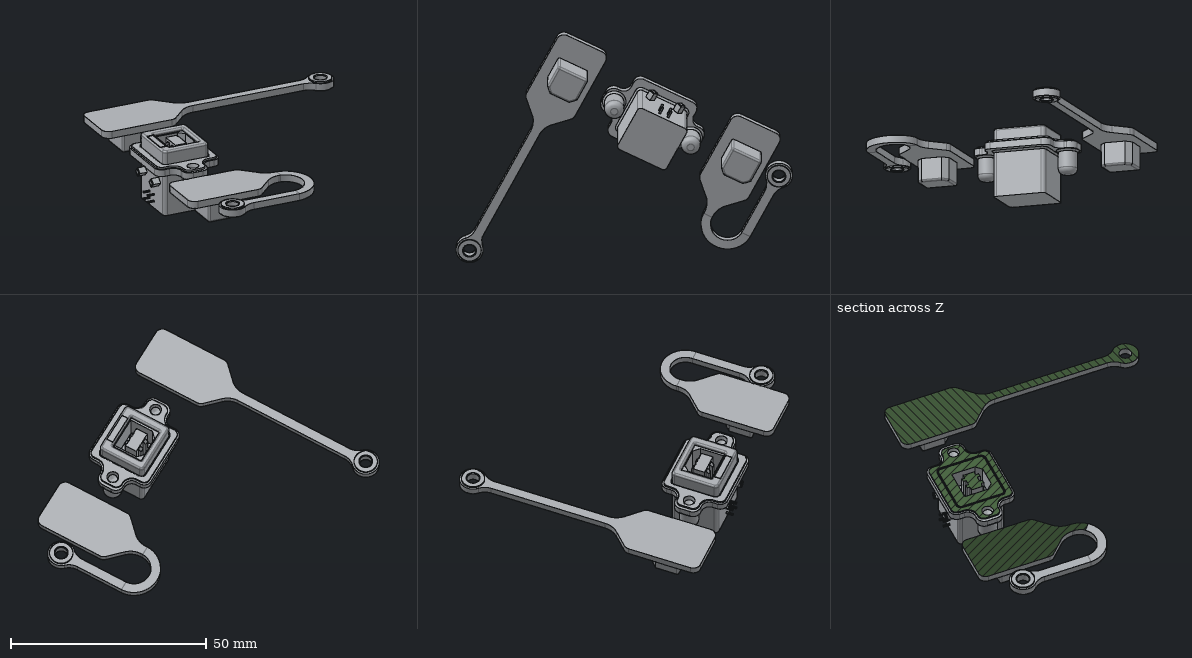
import cadquery as cq
HOUSING_WIDTH = 14.15
HOUSING_DEPTH = 12.95
HOUSING_HEIGHT = 18.0
HOUSING_Y = 0.15
HOUSING_CORNER = 1.0
TOP_ROUND = 0.5
ROOT_FLARE = 0.5

FLANGE_SIDE = 18.0
FLANGE_CORNER = 2.0
FLANGE_BOTTOM = 12.1
FLANGE_TOP = 14.45
EAR_REACH = 14.0
EAR_WIDTH = 7.0
EAR_RADIUS = 2.15
LEDGE = 0.5
EAR_TIP_LEDGE = 0.8
GROOVE_WIDTH = 0.3
GROOVE_DEPTH = 0.5

BOSS_X = 11.0
BOSS_RADIUS = 2.5
BOSS_BOTTOM = 5.8
BOSS_ROUND = 1.6
HOLE_RADIUS = 1.5
HOLE_DEPTH = 1.15
HOLE_END_RADIUS = 1.2
HOLE_POINT = 0.8

MOUTH_WIDTH = 9.45
MOUTH_DEPTH = 8.4
MOUTH_SINK = 0.8
MOUTH_CORNER = 0.2
MOUTH_ROUND = 0.5
PORT_WIDTH = 8.3
PORT_DEPTH = 7.95
PORT_CUT = 1.5
PORT_Y = 0.6
PORT_FLOOR = 9.0
TONGUE_WIDTH = 5.65
TONGUE_DEPTH = 3.2
TONGUE_TOP = 17.15
TONGUE_Y = 0.65
CONTACT_WIDTH = 1.1
CONTACT_DEPTH = 0.8
CONTACT_X = 1.2
CONTACT_TOP = TONGUE_TOP - 0.7
LABEL_WIDTH = 7.8
LABEL_SINK = 0.15

POST_X = 3.9
POST_Z = 8.5
POST_SPAN = 2.4
POST_LENGTH = 2.3
POST_TIP = 0.2
LEAD_ROWS = (2.0, 3.85)
LEAD_WIDTH = 0.5
LEAD_HEIGHT = 0.3
LEAD_LENGTH = 1.85

CAP_X = 25.0
CAP_FRONT = -10.9
CAP_BOTTOM = 12.5
CAP_THICKNESS = FLANGE_TOP - CAP_BOTTOM
PLATE_WIDTH = 14.0
PLATE_CORNER = 2.0
SHOULDER_Y = 9.1
STRAP_WIDTH = 2.5
NECK_RADIUS = 5.35
NECK_END = 17.15

PLUG_BACK = 3.35
PLUG_BOTTOM = 6.4
PLUG_CORNER = 0.5
PLUG_WIDTH = 8.5
PLUG_DEPTH = 7.8

RING_RADIUS = 3.5
RING_HOLE = 1.6
RING_HOLE_BEVEL = 0.2
PAD_RADIUS = 3.0
PAD_HEIGHT = 0.35
RING_NECK_RADIUS = 4.3
RING_STEM = 5.65
STRAIGHT_RING_Y = 54.1

LOOP_RADIUS = 5.47
LOOP_DROP = 0.9
LOOP_Y = 17.6
LOOP_RING_Y = -0.9


def box(width, depth, bottom, top, x=0.0, y=0.0):
    """Block centred on (x, y) between two heights."""
    return cq.Workplane("XY", origin=(x, y, bottom)).rect(width, depth).extrude(top - bottom)


def edges_near_y(solid, y, reach=0.35):
    """Upright edges of a solid within a short distance of one Y."""
    far = 143
    band = cq.selectors.BoxSelector((-far, y - reach, -far), (far, y + reach, far))
    return solid.edges("|Z").edges(band)


def flange_tier(inset, ear_tip_inset, bottom, top):
    """Rounded square with an ear on each side, drawn in from the flange edge by an inset."""
    side = FLANGE_SIDE - 2 * inset
    square = box(side, side, bottom, top).edges("|Z").fillet(FLANGE_CORNER - inset)
    ears = box(2 * (EAR_REACH - ear_tip_inset), EAR_WIDTH - 2 * inset, bottom, top)
    ears = ears.edges("|Z").fillet(EAR_RADIUS - inset)
    tier = square.union(ears)
    half_ear = EAR_WIDTH / 2 - inset
    for y in (-half_ear, half_ear):
        band = cq.selectors.BoxSelector((-side / 2 - 0.1, y - 0.1, 0), (side / 2 + 0.1, y + 0.1, FLANGE_TOP))
        tier = tier.edges("|Z").edges(band).fillet(EAR_RADIUS + inset)
    return tier


def housing_block():
    block = box(HOUSING_WIDTH, HOUSING_DEPTH, 0, HOUSING_HEIGHT, y=HOUSING_Y)
    return block.edges("|Z").fillet(HOUSING_CORNER).faces(">Z").edges().fillet(TOP_ROUND)


def housing_groove():
    """Narrow gap in the flange top around the housing."""
    bottom = FLANGE_TOP - GROOVE_DEPTH
    outer = box(HOUSING_WIDTH + 2 * GROOVE_WIDTH, HOUSING_DEPTH + 2 * GROOVE_WIDTH, bottom, FLANGE_TOP, y=HOUSING_Y)
    return outer.edges("|Z").fillet(HOUSING_CORNER + GROOVE_WIDTH)


def housing_root():
    """Flare that joins the housing to the underside of the flange."""
    root = (
        cq.Workplane("XY", origin=(0, HOUSING_Y, FLANGE_BOTTOM - ROOT_FLARE))
        .sketch().rect(HOUSING_WIDTH, HOUSING_DEPTH).vertices().fillet(HOUSING_CORNER).finalize()
        .extrude(ROOT_FLARE, taper=-45)
    )
    return root


def boss(x):
    """Round-ended boss under an ear, flared where it meets the flange."""
    post = cq.Workplane("XY", origin=(x, 0, BOSS_BOTTOM)).circle(BOSS_RADIUS)
    post = post.extrude(FLANGE_BOTTOM - BOSS_BOTTOM).faces("<Z").edges().fillet(BOSS_ROUND)
    flare = cq.Workplane("XY", origin=(x, 0, FLANGE_BOTTOM - ROOT_FLARE)).circle(BOSS_RADIUS)
    return post.union(flare.extrude(ROOT_FLARE, taper=-45))


def mounting_hole(x):
    """Blind tapered hole with a drill-point end."""
    return (
        cq.Workplane("XZ", origin=(x, 0, FLANGE_TOP))
        .polyline([(0, 0), (HOLE_RADIUS, 0), (HOLE_END_RADIUS, -HOLE_DEPTH), (0, -HOLE_DEPTH - HOLE_POINT)])
        .close()
        .revolve(360, (0, 0, 0), (0, 1, 0))
    )


def port_outline(width, depth, cut, bottom, top, y=PORT_Y):
    """Block whose two +Y corners are cut off at 45 degrees."""
    return box(width, depth, bottom, top, y=y).edges("|Z and >Y").chamfer(cut)


def housing_with_mouth():
    """Housing with a shallow rectangular mouth sunk in its top and rounded at the rim."""
    floor = HOUSING_HEIGHT - MOUTH_SINK
    mouth = box(MOUTH_WIDTH, MOUTH_DEPTH, floor, HOUSING_HEIGHT, y=PORT_Y).edges("|Z").fillet(MOUTH_CORNER)
    housing = housing_block().cut(mouth)
    rim = housing.faces(">Z").wires(cq.selectors.LengthNthSelector(0))
    return housing.newObject(rim.edges().vals()).fillet(MOUTH_ROUND)


def port_cavity():
    return port_outline(PORT_WIDTH, PORT_DEPTH, PORT_CUT, PORT_FLOOR, HOUSING_HEIGHT)


def label_recess():
    """Shallow recess in the top face between the mouth and the front edge."""
    back = PORT_Y - MOUTH_DEPTH / 2 - MOUTH_ROUND
    front = HOUSING_Y - HOUSING_DEPTH / 2 + TOP_ROUND
    bottom = HOUSING_HEIGHT - LABEL_SINK
    return box(LABEL_WIDTH, back - front, bottom, HOUSING_HEIGHT, y=(back + front) / 2)


def tongue():
    """Contact carrier with two contacts on each long face."""
    carrier = box(TONGUE_WIDTH, TONGUE_DEPTH, PORT_FLOOR, TONGUE_TOP, y=TONGUE_Y)
    for x in (-CONTACT_X, CONTACT_X):
        contacts = box(CONTACT_WIDTH, TONGUE_DEPTH + 2 * CONTACT_DEPTH, PORT_FLOOR, CONTACT_TOP, x, TONGUE_Y)
        contacts = contacts.faces(">Z").edges("|X").chamfer(CONTACT_DEPTH)
        carrier = carrier.union(contacts)
    return carrier


def board_pins():
    """Two diamond posts and four leads that stand out of the front face."""
    front = HOUSING_Y - HOUSING_DEPTH / 2
    face = cq.Workplane("XZ", origin=(0, front, 0))
    pins = face.pushPoints([(-POST_X, POST_Z), (POST_X, POST_Z)]).polygon(4, POST_SPAN).extrude(POST_LENGTH)
    pins = pins.faces("<Y").chamfer(POST_TIP)
    lead_places = [(x, z) for x in (-CONTACT_X, CONTACT_X) for z in LEAD_ROWS]
    return pins.add(face.pushPoints(lead_places).rect(LEAD_WIDTH, LEAD_HEIGHT).extrude(LEAD_LENGTH))


def make_connector():
    ledge_z = FLANGE_TOP - LEDGE
    body = flange_tier(0, 0, FLANGE_BOTTOM, ledge_z)
    body = body.union(flange_tier(LEDGE, EAR_TIP_LEDGE, ledge_z, FLANGE_TOP))
    body = body.cut(housing_groove()).union(housing_with_mouth()).union(housing_root())
    for x in (-BOSS_X, BOSS_X):
        body = body.union(boss(x)).cut(mounting_hole(x))
    body = body.cut(label_recess()).cut(port_cavity()).union(tongue())
    for pin in board_pins().vals():
        body = body.union(cq.Workplane(pin))
    return body


def cap_plate():
    """Plate that narrows at 45 degrees to a short length of strap."""
    half = PLATE_WIDTH / 2
    half_strap = STRAP_WIDTH / 2
    neck_y = SHOULDER_Y + half - half_strap
    plate = (
        cq.Workplane("XY", origin=(0, 0, CAP_BOTTOM))
        .polyline([
            (-half, CAP_FRONT), (half, CAP_FRONT), (half, SHOULDER_Y), (half_strap, neck_y),
            (half_strap, NECK_END), (-half_strap, NECK_END), (-half_strap, neck_y), (-half, SHOULDER_Y),
        ])
        .close()
        .extrude(CAP_THICKNESS)
    )
    for y, radius in ((CAP_FRONT, PLATE_CORNER), (SHOULDER_Y, PLATE_CORNER), (neck_y, NECK_RADIUS)):
        plate = edges_near_y(plate, y).fillet(radius)
    return plate


def cap_plug():
    """Plug under the plate, with the same cut corners as the connector's port."""
    centre_y = PLUG_BACK - PLUG_DEPTH / 2
    plug = port_outline(PLUG_WIDTH, PLUG_DEPTH, PORT_CUT, PLUG_BOTTOM, CAP_BOTTOM, centre_y)
    return plug.edges("|Z and <Y").fillet(PLUG_CORNER).faces("<Z").edges().fillet(PLUG_CORNER)


def strap_ring():
    """Ring at the origin with a raised pad on each face, and a flared stem that runs toward -Y."""
    stem = box(STRAP_WIDTH, RING_STEM, 0, CAP_THICKNESS, y=-RING_STEM / 2)
    disc = cq.Workplane("XY").circle(RING_RADIUS).extrude(CAP_THICKNESS)
    joint_y = -(RING_RADIUS**2 - (STRAP_WIDTH / 2) ** 2) ** 0.5
    blank = edges_near_y(disc.union(stem), joint_y).fillet(RING_NECK_RADIUS)
    pads = cq.Workplane("XY", origin=(0, 0, -PAD_HEIGHT)).circle(PAD_RADIUS).circle(RING_HOLE)
    pads = pads.extrude(CAP_THICKNESS + 2 * PAD_HEIGHT)
    bore_rims = pads.edges("%CIRCLE").edges(cq.selectors.RadiusNthSelector(0))
    pads = bore_rims.chamfer(RING_HOLE_BEVEL)
    bore = cq.Workplane("XY").circle(RING_HOLE).extrude(CAP_THICKNESS)
    return blank.cut(bore).union(pads)


def make_straight_cap():
    stem_end = STRAIGHT_RING_Y - RING_STEM
    strap = box(STRAP_WIDTH, stem_end - NECK_END, CAP_BOTTOM, FLANGE_TOP, y=(stem_end + NECK_END) / 2)
    ring = strap_ring().translate((0, STRAIGHT_RING_Y, CAP_BOTTOM))
    return cap_plate().union(cap_plug()).union(strap).union(ring).translate((-CAP_X, 0, 0))


def loop_bend():
    """Half turn of strap that sinks as it turns from the plate to the hanging leg."""
    path = cq.Wire.makeHelix(2 * LOOP_DROP, LOOP_DROP, LOOP_RADIUS)
    section = cq.Workplane("XZ", origin=(LOOP_RADIUS, 0, 0)).rect(STRAP_WIDTH, CAP_THICKNESS)
    bend = section.sweep(cq.Workplane(path), isFrenet=True)
    return bend.mirror("XY").mirror("YZ").translate((LOOP_RADIUS, LOOP_Y, CAP_BOTTOM + CAP_THICKNESS / 2))


def make_looped_cap():
    leg_x = 2 * LOOP_RADIUS
    leg_bottom = CAP_BOTTOM - LOOP_DROP
    stem_end = LOOP_RING_Y + RING_STEM
    lead_in = box(STRAP_WIDTH, LOOP_Y - NECK_END, CAP_BOTTOM, FLANGE_TOP, y=(LOOP_Y + NECK_END) / 2)
    leg = box(STRAP_WIDTH, LOOP_Y - stem_end, leg_bottom, leg_bottom + CAP_THICKNESS, leg_x, (LOOP_Y + stem_end) / 2)
    ring = strap_ring().mirror("XZ")
    ring = ring.translate((leg_x, LOOP_RING_Y, leg_bottom))
    cap = cap_plate().union(cap_plug()).union(lead_in).union(loop_bend()).union(leg).union(ring)
    return cap.translate((CAP_X, 0, 0))


connector = make_connector()
straight_cap = make_straight_cap()
looped_cap = make_looped_cap()

result = cq.Compound.makeCompound([connector.val(), straight_cap.val(), looped_cap.val()])